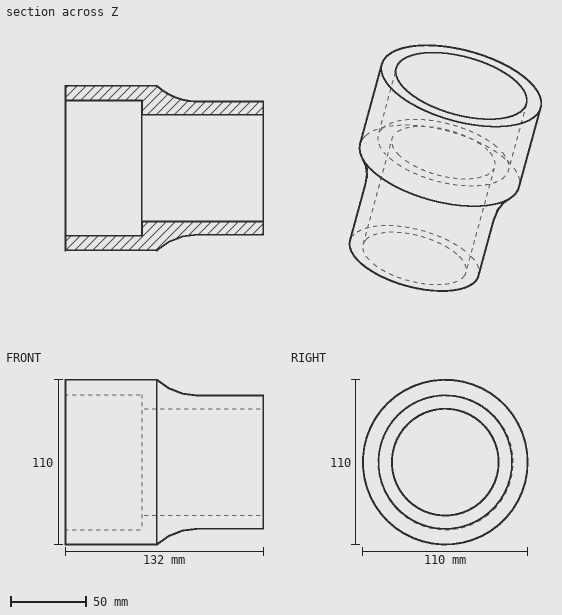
import cadquery as cq

total_length = 132.0
body_length = 61.0
neck_start = 88.0
body_diameter = 110.0
neck_diameter = 89.0
socket_diameter = 90.0
socket_depth = 51.0
bore_diameter = 71.0

body_radius = body_diameter / 2
neck_radius = neck_diameter / 2

transition_length = neck_start - body_length
radial_step = body_radius - neck_radius
arc_radius = (transition_length**2 + radial_step**2) / (2 * radial_step)


def revolved_outside():
    """Solid body, concave transition and neck."""
    return (
        cq.Workplane("XY")
        .moveTo(0, 0)
        .lineTo(0, body_radius)
        .lineTo(body_length, body_radius)
        .radiusArc((neck_start, neck_radius), -arc_radius)
        .lineTo(total_length, neck_radius)
        .lineTo(total_length, 0)
        .close()
        .revolve(360, (0, 0, 0), (1, 0, 0))
    )


def cylinder_along_x(diameter, length):
    """Cylinder starting at the wide end."""
    return cq.Workplane("YZ").circle(diameter / 2).extrude(length)


socket = cylinder_along_x(socket_diameter, socket_depth)
bore = cylinder_along_x(bore_diameter, total_length)

result = revolved_outside().cut(socket).cut(bore)